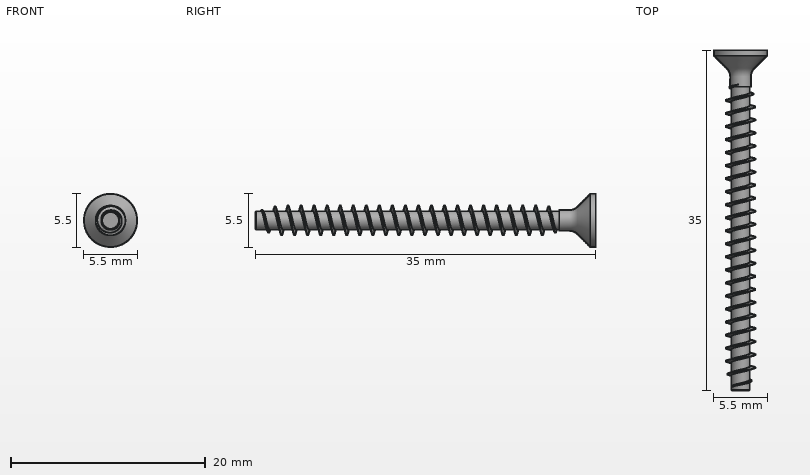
import cadquery as cq
import math

LENGTH = 35.0

HEAD_RADIUS = 5.5 / 2
RIM_HEIGHT = 0.55
CONE_ANGLE = math.radians(45)
SHANK_RADIUS = 1.1
SHANK_END = 3.78
NECK_FILLET = 1.1

CORE_RADIUS = 1.92 / 2
TIP_CHAMFER = 0.1

THREAD_START = 3.15
THREAD_LENGTH = 31.5
TURNS = 23.5
TAPER_TURNS = 1.5
PITCH = THREAD_LENGTH / TURNS
CREST_RADIUS = 1.55
END_CREST_RADIUS = 0.98
CREST_HALF_WIDTH = 0.018
ROOT_HALF_WIDTH = 0.18
ROOT_RADIUS = 0.85


def make_body():
    """Head, filleted neck, shank and core as one revolved profile."""
    cone_end = RIM_HEIGHT + (HEAD_RADIUS - SHANK_RADIUS) / math.tan(CONE_ANGLE)
    half_angle = CONE_ANGLE / 2
    tangent_length = NECK_FILLET * math.tan(half_angle)
    fillet_start = (
        SHANK_RADIUS + tangent_length * math.sin(CONE_ANGLE),
        cone_end - tangent_length * math.cos(CONE_ANGLE),
    )
    fillet_end = (SHANK_RADIUS, cone_end + tangent_length)
    fillet_middle = (
        SHANK_RADIUS + NECK_FILLET * (1 - math.cos(half_angle)),
        fillet_end[1] - NECK_FILLET * math.sin(half_angle),
    )
    return (
        cq.Workplane("XZ")
        .moveTo(0, 0)
        .lineTo(HEAD_RADIUS, 0)
        .lineTo(HEAD_RADIUS, RIM_HEIGHT)
        .lineTo(*fillet_start)
        .threePointArc(fillet_middle, fillet_end)
        .lineTo(SHANK_RADIUS, SHANK_END)
        .lineTo(CORE_RADIUS, SHANK_END)
        .lineTo(CORE_RADIUS, LENGTH - TIP_CHAMFER)
        .lineTo(CORE_RADIUS - TIP_CHAMFER, LENGTH)
        .lineTo(0, LENGTH)
        .close()
        .revolve(360, (0, 0, 0), (0, 1, 0))
    )


def helix(turns, first_radius, last_radius, offset):
    """Helical edge starting on the X axis, shifted along Z, with a linear change of radius."""
    height = turns * PITCH
    if first_radius == last_radius:
        wire = cq.Wire.makeHelix(PITCH, height, first_radius)
    else:
        cone_angle = math.atan2(last_radius - first_radius, height)
        slant = 1 / math.cos(cone_angle)
        wire = cq.Wire.makeHelix(
            PITCH * slant, height * slant, first_radius, angle=math.degrees(cone_angle)
        )
    return wire.translate(cq.Vector(0, 0, offset)).Edges()[0]


def make_thread_section(turns, first_crest, last_crest):
    """Solid ridge of trapezoidal profile, bounded by four helical edges and two flat ends."""
    corners = [
        helix(turns, ROOT_RADIUS, ROOT_RADIUS, -ROOT_HALF_WIDTH),
        helix(turns, first_crest, last_crest, -CREST_HALF_WIDTH),
        helix(turns, first_crest, last_crest, CREST_HALF_WIDTH),
        helix(turns, ROOT_RADIUS, ROOT_RADIUS, ROOT_HALF_WIDTH),
    ]
    faces = [
        cq.Face.makeRuledSurface(corner, neighbour)
        for corner, neighbour in zip(corners, corners[1:] + corners[:1])
    ]
    for position in (0, 1):
        points = [corner.positionAt(position) for corner in corners]
        faces.append(cq.Face.makeFromWires(cq.Wire.makePolygon(points, close=True)))
    section = cq.Solid.makeSolid(cq.Shell.makeShell(faces))
    return cq.Workplane(obj=section.fix())


def make_thread():
    """Full-height ridge between two tapered run-outs; returns the three pieces."""
    full_turns = TURNS - 2 * TAPER_TURNS
    run_out = make_thread_section(TAPER_TURNS, END_CREST_RADIUS, CREST_RADIUS)
    ridge = make_thread_section(full_turns, CREST_RADIUS, CREST_RADIUS)

    tip_run_out = run_out.rotate((0, 0, 0), (1, 0, 0), 180)
    pieces = [(run_out, 0), (ridge, TAPER_TURNS), (tip_run_out, TURNS)]
    return [
        piece.rotate((0, 0, 0), (0, 0, 1), 360 * turn).translate(
            (0, 0, THREAD_START + turn * PITCH)
        )
        for piece, turn in pieces
    ]


screw = make_body()
for thread_piece in make_thread():
    screw = screw.union(thread_piece)

result = screw.rotate((0, 0, 0), (1, 0, 0), 90)